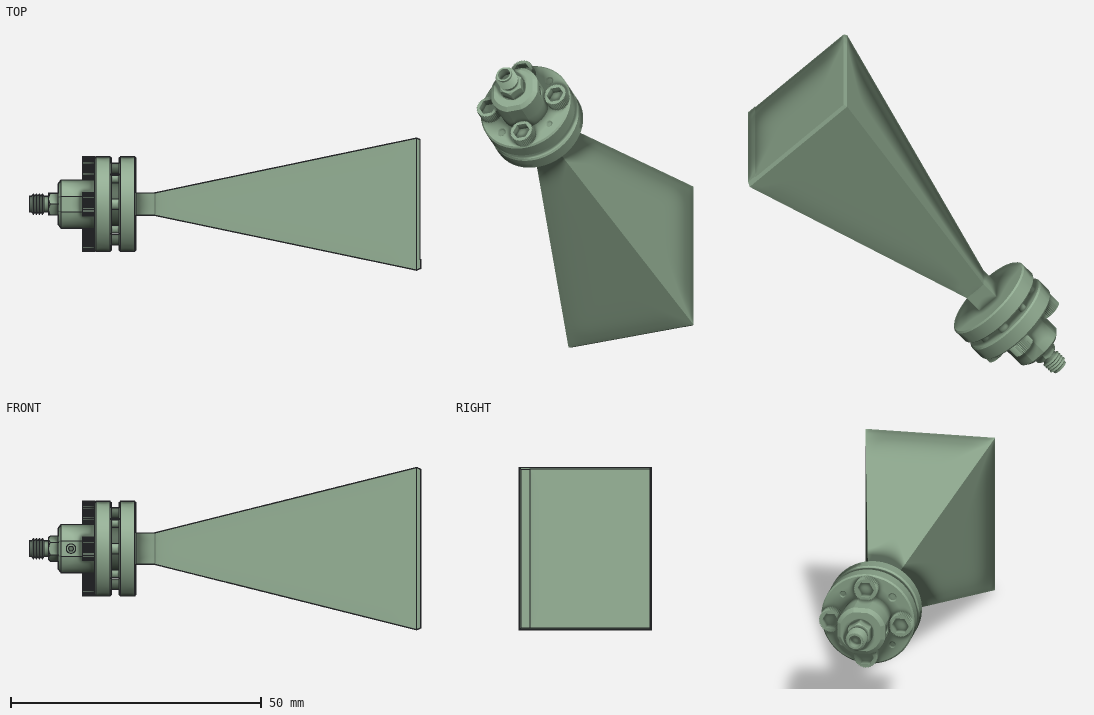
import cadquery as cq
import math

length = 78.1
thread_end = 2.9
nut_start = 3.75
body_start = 5.7
flange_start = 13.0
flange_thickness = 3.35
flange_gap = 1.6
waveguide_end = 25.0
horn_end = 77.2
rim_end = 77.9
second_flange_start = flange_start + flange_thickness + flange_gap
second_flange_end = second_flange_start + flange_thickness

barrel_diameter = 3.2
thread_start = 0.5
thread_diameter = 4.05
thread_count = 4
thread_pitch = (thread_end - thread_start) / thread_count
bore_diameter = 2.5
bore_depth = 2.35
nut_flats = 4.4
nut_chamfer = 0.4

body_diameter = 10.15
body_flats = 9.7
body_chamfer_length = 0.6
body_chamfer_width = 0.8
nut_recess_diameter = 5.4
nut_recess_depth = 0.4

set_screw_x = 8.3
set_screw_diameter = 1.9
set_screw_recess = 0.2
set_screw_hex = 0.9
set_screw_hex_depth = 0.9

flange_diameter = 19.0
flange_chamfer = 0.3
boss_diameter = 8.4
bolt_circle_radius = 7.1
screw_head_diameter = 4.7
screw_head_height = 2.4
screw_shank_diameter = 2.1
knurl_count = 40
knurl_depth = 0.195
socket_flats = 3.05
socket_depth = 1.7
dowel_diameter = 1.6
dowel_seat_depth = 0.2
dowel_seat_taper = 45.0
dowel_seat_diameters = (1.4, 1.8)

waveguide_width = 4.5
waveguide_height = 6.3
mouth_width = 26.4
mouth_height = 32.4
rim_inset = 0.4
rim_width = mouth_width - 2 * rim_inset
rim_height = mouth_height - 2 * rim_inset
rim_strip_width = 2.2


def section(x):
    """Sketch plane square to the axis: local x is Y, local y is Z."""
    return cq.Workplane("YZ", origin=(x, 0, 0))


def cylinder(x_start, x_end, diameter):
    return section(x_start).circle(diameter / 2).extrude(x_end - x_start)


def hexagon_corners(flats):
    return flats / math.cos(math.pi / 6)


def on_bolt_circle(angle):
    radians = math.radians(angle)
    return bolt_circle_radius * math.cos(radians), bolt_circle_radius * math.sin(radians)


def frustum(x_start, start_size, x_end, end_size):
    return (
        section(x_start).rect(*start_size)
        .workplane(offset=x_end - x_start).rect(*end_size)
        .loft(ruled=True)
    )


def make_connector():
    root_radius = barrel_diameter / 2
    profile = cq.Workplane("XY").moveTo(0, 0).lineTo(0, root_radius).lineTo(thread_start, root_radius)
    for turn in range(thread_count):
        ridge_start = thread_start + turn * thread_pitch
        profile = profile.lineTo(ridge_start + thread_pitch / 2, thread_diameter / 2)
        profile = profile.lineTo(ridge_start + thread_pitch, root_radius)
    profile = profile.lineTo(body_start, root_radius).lineTo(body_start, 0).close()
    barrel = profile.revolve(360, (0, 0, 0), (1, 0, 0))
    bore = cylinder(0, bore_depth, bore_diameter)
    return barrel.cut(bore)


def make_nut():
    """Hex nut with corners at +Z and -Z; its front corners are turned down."""
    corners = hexagon_corners(nut_flats)
    nut_length = body_start + nut_recess_depth - nut_start
    nut = (
        section(nut_start)
        .transformed(rotate=(0, 0, 90))
        .polygon(6, corners)
        .extrude(nut_length)
    )
    envelope = cylinder(nut_start, nut_start + nut_length, corners).faces("<X").chamfer(nut_chamfer)
    return nut.intersect(envelope)


def make_body():
    body_length = flange_start - body_start
    box = section(body_start).rect(body_flats, body_flats).extrude(body_length)
    turned = cylinder(body_start, flange_start, body_diameter)
    bevelled_box, bevelled_turned = (
        blank.faces("<X").chamfer(body_chamfer_length, body_chamfer_width) for blank in (box, turned)
    )
    body = bevelled_turned.intersect(bevelled_box)
    return body.cut(cylinder(body_start, body_start + nut_recess_depth, nut_recess_diameter))


def make_set_screw_hole():
    flat = cq.Workplane("XZ", origin=(set_screw_x, -body_flats / 2, 0))
    recess = flat.circle(set_screw_diameter / 2).extrude(-set_screw_recess)
    socket = flat.polygon(6, hexagon_corners(set_screw_hex)).extrude(-set_screw_hex_depth)
    return recess.union(socket)


def make_flange(x_start):
    flange = cylinder(x_start, x_start + flange_thickness, flange_diameter)
    return flange.faces("<X or >X").chamfer(flange_chamfer)


def make_screw(angle):
    """Knurled socket-head screw clamping both flanges."""
    y, z = on_bolt_circle(angle)
    head_start = flange_start - screw_head_height
    outer_radius = screw_head_diameter / 2
    knurl = []
    for index in range(2 * knurl_count):
        radius = outer_radius - knurl_depth * (index % 2)
        turn = math.pi * index / knurl_count
        knurl.append((y + radius * math.cos(turn), z + radius * math.sin(turn)))
    head = section(head_start).polyline(knurl).close().extrude(screw_head_height)
    shank = section(flange_start).center(y, z).circle(screw_shank_diameter / 2)
    return head.union(shank.extrude(second_flange_end - flange_start))


def make_screw_socket(angle):
    socket = section(flange_start - screw_head_height).center(*on_bolt_circle(angle))
    return socket.polygon(6, hexagon_corners(socket_flats)).extrude(socket_depth)


def make_dowel(angle):
    dowel = section(flange_start + flange_thickness).center(*on_bolt_circle(angle))
    return dowel.circle(dowel_diameter / 2).extrude(flange_gap)


def make_dowel_seat(angle, diameter):
    """Conical recess in the front face of the first flange."""
    seat = section(flange_start).center(*on_bolt_circle(angle))
    return seat.circle(diameter / 2).extrude(dowel_seat_depth, taper=dowel_seat_taper)


def make_horn():
    waveguide_size = (waveguide_width, waveguide_height)
    mouth_size = (mouth_width, mouth_height)
    waveguide = (
        section(second_flange_end)
        .rect(*waveguide_size)
        .extrude(waveguide_end - second_flange_end)
    )
    flare = frustum(waveguide_end, waveguide_size, horn_end, mouth_size)
    rim = frustum(horn_end, mouth_size, length, (rim_width, rim_height))
    lowered_area = (
        section(rim_end)
        .center(rim_strip_width, 0)
        .rect(mouth_width, mouth_height)
        .extrude(length - rim_end)
    )
    return waveguide.union(flare).union(rim.cut(lowered_area))


result = make_body().union(make_nut()).union(make_connector()).cut(make_set_screw_hole())
result = result.union(make_flange(flange_start)).union(make_flange(second_flange_start))
result = result.union(cylinder(flange_start, second_flange_end, boss_diameter)).union(make_horn())

for quarter in range(4):
    screw_angle = 90 * quarter
    dowel_angle = screw_angle + 45
    result = result.union(make_screw(screw_angle)).cut(make_screw_socket(screw_angle))
    result = result.union(make_dowel(dowel_angle))
    result = result.cut(make_dowel_seat(dowel_angle, dowel_seat_diameters[quarter % 2]))